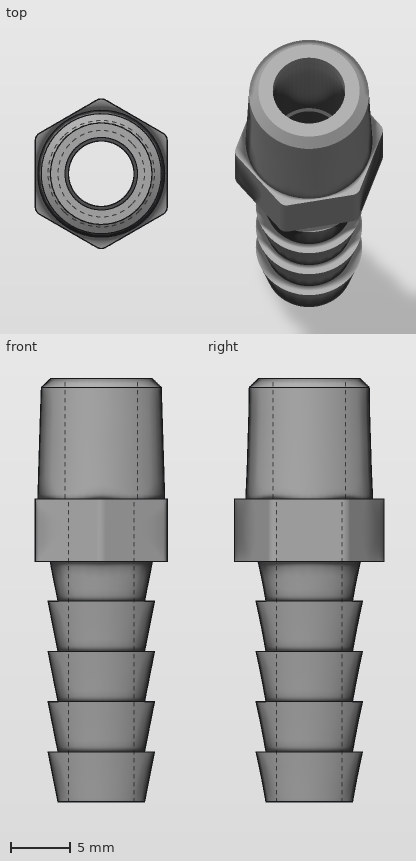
import cadquery as cq

total_length = 35.61
hex_across_flats = 11.11
hex_height = 5.28
hex_edge_radius = 0.75
hex_bottom_z = 20.2
hex_top_z = hex_bottom_z + hex_height

barb_count = 4
barb_pitch = 4.22
barb_root_radius = 3.64
barb_tip_radius = 4.48

stub_base_radius = 5.34
stub_taper = 1 / 32
bevel_height = 0.76
mouth_radius = 4.26
bevel_bottom_z = total_length - bevel_height
bevel_radius = stub_base_radius - stub_taper * (bevel_bottom_z - hex_top_z)

hose_bore_diameter = 5.5
stub_bore_diameter = 6.1
stub_bore_depth = total_length - hex_top_z


def cone(bottom_radius, top_radius, bottom_z, top_z):
    """Solid truncated cone standing on the Z axis."""
    profile = [(0, bottom_z), (bottom_radius, bottom_z), (top_radius, top_z), (0, top_z)]
    return cq.Workplane("XZ").polyline(profile).close().revolve(360, (0, 0), (0, 1))


def hexagon():
    """Wrench hexagon with flats facing +X and -X and rounded upright edges."""
    block = (
        cq.Workplane("XY")
        .workplane(offset=hex_bottom_z)
        .polygon(6, hex_across_flats, circumscribed=True)
        .extrude(hex_height)
    )
    return block.edges("|Z").fillet(hex_edge_radius)


def hose_barbs():
    """Stack of full barbs followed by the shortened barb under the hexagon."""
    neck_bottom_z = barb_count * barb_pitch
    barb_slope = (barb_tip_radius - barb_root_radius) / barb_pitch
    neck_top_radius = barb_root_radius + barb_slope * (hex_bottom_z - neck_bottom_z)
    barbs = cone(barb_root_radius, neck_top_radius, neck_bottom_z, hex_bottom_z)
    for index in range(barb_count):
        bottom_z = index * barb_pitch
        barbs = barbs.union(cone(barb_root_radius, barb_tip_radius, bottom_z, bottom_z + barb_pitch))
    return barbs


def pipe_stub():
    """Tapered stub above the hexagon, bevelled at its mouth."""
    body = cone(stub_base_radius, bevel_radius, hex_top_z, bevel_bottom_z)
    bevel = cone(bevel_radius, mouth_radius, bevel_bottom_z, total_length)
    return body.union(bevel)


def stepped_bore():
    """Through bore with its wider length at the stub end."""
    hose_bore = cq.Workplane("XY").circle(hose_bore_diameter / 2).extrude(total_length)
    stub_bore = (
        cq.Workplane("XY")
        .workplane(offset=total_length - stub_bore_depth)
        .circle(stub_bore_diameter / 2)
        .extrude(stub_bore_depth)
    )
    return hose_bore.union(stub_bore)


result = hexagon().union(hose_barbs()).union(pipe_stub()).cut(stepped_bore())